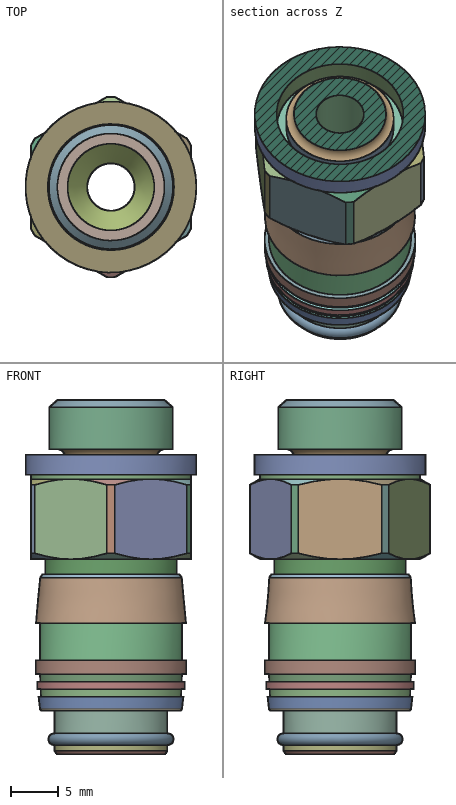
import cadquery as cq
import math

LENGTH = 37.6

BORE_DIA = 5.0
SEAT_DIA = 9.2
SEAT_ANGLE = 60.0

STUD_DIA = 13.16
STUD_BOTTOM = 32.35
STUD_CHAMFER_HEIGHT = 0.8
STUD_CHAMFER_WIDTH = 0.9
UNDERCUT_RADIUS = 0.8
STEM_DIA = 11.4

COLLAR_DIA = 18.15
COLLAR_BORE_DIA = 13.4
COLLAR_TOP = 31.8
COLLAR_BOTTOM = 29.65
COLLAR_FOOT_DIA = 17.0

HEX_SIDES = 6
HEX_ACROSS_FLATS = 17.0
HEX_CORNER_DIA = 19.15
HEX_TOP = 29.2
HEX_BOTTOM = 20.7
HEX_CHAMFER_ANGLE = 30.0

NECK_DIA = 14.0
SLEEVE_TOP = 19.1
SLEEVE_BOTTOM = 13.9
SLEEVE_TOP_DIA = 15.05
SLEEVE_BOTTOM_DIA = 15.95
SLEEVE_CHAMFER_HEIGHT = 0.35
SLEEVE_CHAMFER_WIDTH = 0.25
BARREL_DIA = 15.1
WIDE_RING_DIA = 16.0
WIDE_RING_TOP = 10.0
WIDE_RING_BOTTOM = 8.5
NARROW_RING_DIA = 15.7
NARROW_RING_TOP = 7.7
NARROW_RING_BOTTOM = 6.9
END_BAND_TOP_DIA = 15.4
END_BAND_BOTTOM_DIA = 15.05
END_BAND_TOP = 6.12
END_BAND_BOTTOM = 4.6
END_BAND_ROUNDING = 0.3
GROOVE_END_DIA = 14.9

SPIGOT_DIA = 12.0
SPIGOT_CHAMFER_HEIGHT = 0.35
SPIGOT_CHAMFER_WIDTH = 0.25
O_RING_DIA = 13.3
O_RING_SECTION_DIA = 1.25
O_RING_HEIGHT = 1.6


def turned(profile):
    """Revolve a closed XZ profile (radius, height) about the Z axis."""
    return profile.close().revolve(360, (0, 0, 0), (0, 1, 0))


def cylinder(diameter, bottom, top):
    return cq.Workplane("XY").workplane(offset=bottom).circle(diameter / 2).extrude(top - bottom)


def cone(bottom_dia, top_dia, bottom, top):
    profile = cq.Workplane("XZ").polyline(
        [(0, bottom), (bottom_dia / 2, bottom), (top_dia / 2, top), (0, top)]
    )
    return turned(profile)


def make_stud():
    """Threaded stud, round undercut below it and the stem down to the hexagon."""
    stud_r = STUD_DIA / 2
    stem_r = STEM_DIA / 2
    undercut_bottom = STUD_BOTTOM - 2 * UNDERCUT_RADIUS
    undercut_floor = (stem_r - UNDERCUT_RADIUS, STUD_BOTTOM - UNDERCUT_RADIUS)
    profile = (
        cq.Workplane("XZ")
        .moveTo(0, HEX_BOTTOM)
        .lineTo(stem_r, HEX_BOTTOM)
        .lineTo(stem_r, undercut_bottom)
        .threePointArc(undercut_floor, (stem_r, STUD_BOTTOM))
        .lineTo(stud_r, STUD_BOTTOM)
        .lineTo(stud_r, LENGTH - STUD_CHAMFER_HEIGHT)
        .lineTo(stud_r - STUD_CHAMFER_WIDTH, LENGTH)
        .lineTo(0, LENGTH)
    )
    return turned(profile)


def make_collar():
    """Sealing collar, open around the stem down to the top of the hexagon."""
    flange = cylinder(COLLAR_DIA, COLLAR_BOTTOM, COLLAR_TOP)
    foot = cylinder(COLLAR_FOOT_DIA, HEX_TOP, COLLAR_BOTTOM)
    return flange.union(foot).cut(cylinder(COLLAR_BORE_DIA, HEX_TOP, COLLAR_TOP))


def make_hexagon():
    """Hexagon with flats facing +X and -X, its corners turned and chamfered."""
    half_side_angle = 180 / HEX_SIDES
    across_corners = HEX_ACROSS_FLATS / math.cos(math.radians(half_side_angle))
    prism = (
        cq.Workplane("XY")
        .workplane(offset=HEX_BOTTOM)
        .polygon(HEX_SIDES, across_corners)
        .extrude(HEX_TOP - HEX_BOTTOM)
        .rotate((0, 0, 0), (0, 0, 1), half_side_angle)
    )
    face_r = HEX_ACROSS_FLATS / 2
    corner_r = HEX_CORNER_DIA / 2
    drop = (corner_r - face_r) * math.tan(math.radians(HEX_CHAMFER_ANGLE))
    envelope = cq.Workplane("XZ").polyline([
        (0, HEX_BOTTOM),
        (face_r, HEX_BOTTOM),
        (corner_r, HEX_BOTTOM + drop),
        (corner_r, HEX_TOP - drop),
        (face_r, HEX_TOP),
        (0, HEX_TOP),
    ])
    return prism.intersect(turned(envelope))


def make_sleeve():
    """Tapered sleeve below the neck, chamfered at its top edge."""
    top_r = SLEEVE_TOP_DIA / 2
    bottom_r = SLEEVE_BOTTOM_DIA / 2
    profile = cq.Workplane("XZ").polyline([
        (0, SLEEVE_BOTTOM),
        (bottom_r, SLEEVE_BOTTOM),
        (top_r, SLEEVE_TOP - SLEEVE_CHAMFER_HEIGHT),
        (top_r - SLEEVE_CHAMFER_WIDTH, SLEEVE_TOP),
        (0, SLEEVE_TOP),
    ])
    return turned(profile)


def make_barrel():
    """Neck, sleeve, plain barrel and the ribbed end with its tapered grooves."""
    neck = cylinder(NECK_DIA, END_BAND_BOTTOM, HEX_BOTTOM)
    plain = cylinder(BARREL_DIA, WIDE_RING_BOTTOM, SLEEVE_BOTTOM)
    grooves = cone(GROOVE_END_DIA, BARREL_DIA, END_BAND_TOP, WIDE_RING_BOTTOM)
    wide_ring = cylinder(WIDE_RING_DIA, WIDE_RING_BOTTOM, WIDE_RING_TOP)
    narrow_ring = cylinder(NARROW_RING_DIA, NARROW_RING_BOTTOM, NARROW_RING_TOP)
    end_band = cone(END_BAND_BOTTOM_DIA, END_BAND_TOP_DIA, END_BAND_BOTTOM, END_BAND_TOP)
    end_band = end_band.faces("<Z").edges().fillet(END_BAND_ROUNDING)
    barrel = neck.union(make_sleeve())
    for section in (plain, grooves, wide_ring, narrow_ring, end_band):
        barrel = barrel.union(section)
    return barrel


def make_spigot():
    """Plain spigot with a chamfered tip and the round bead of the O-ring around it."""
    spigot_r = SPIGOT_DIA / 2
    bead_r = O_RING_DIA / 2
    section_r = O_RING_SECTION_DIA / 2
    inset = bead_r - section_r - spigot_r
    bead_half_height = math.sqrt(section_r**2 - inset**2)
    profile = (
        cq.Workplane("XZ")
        .moveTo(0, 0)
        .lineTo(spigot_r - SPIGOT_CHAMFER_WIDTH, 0)
        .lineTo(spigot_r, SPIGOT_CHAMFER_HEIGHT)
        .lineTo(spigot_r, O_RING_HEIGHT - bead_half_height)
        .threePointArc((bead_r, O_RING_HEIGHT), (spigot_r, O_RING_HEIGHT + bead_half_height))
        .lineTo(spigot_r, END_BAND_BOTTOM)
        .lineTo(0, END_BAND_BOTTOM)
    )
    return turned(profile)


def make_bore():
    """Through bore and the conical seat at the stud end."""
    seat_depth = (SEAT_DIA - BORE_DIA) / 2 / math.tan(math.radians(SEAT_ANGLE / 2))
    seat = cone(BORE_DIA, SEAT_DIA, LENGTH - seat_depth, LENGTH)
    return cylinder(BORE_DIA, 0, LENGTH).union(seat)


body = make_stud()
for section in (make_hexagon(), make_collar(), make_barrel(), make_spigot()):
    body = body.union(section)

result = body.cut(make_bore())